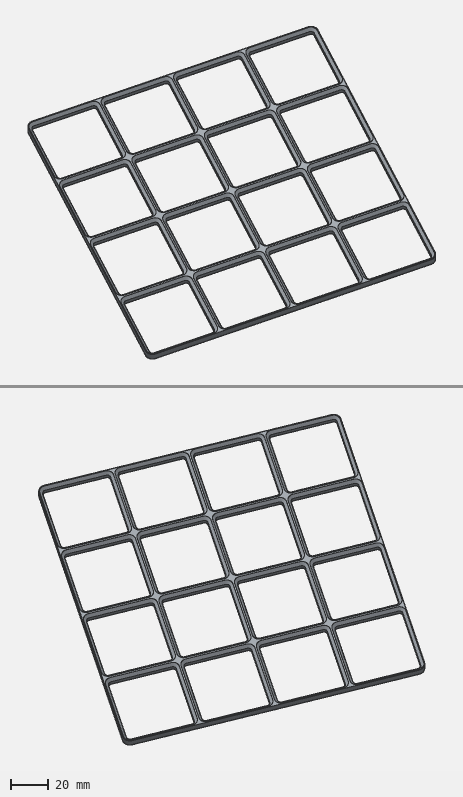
import cadquery as cq

side = 168.0
cells_per_side = 4
pitch = side / cells_per_side
height = 4.2
outer_radius = 4.0

rim_land = 0.47
flare = 1.7
flare_angle = 45
top_radius = outer_radius - rim_land
bottom_opening = pitch - 2 * (rim_land + flare)
bottom_radius = top_radius - flare


def rounded_square(size, radius):
    """Square outline with rounded corners, centred on the origin."""
    return cq.Sketch().rect(size, size).vertices().fillet(radius)


def cell_cutter():
    """Solid removed from one cell; the flare keeps its corner arcs concentric."""
    outline = rounded_square(bottom_opening, bottom_radius)
    straight_walls = cq.Workplane("XY").placeSketch(outline).extrude(height - flare)
    flared_walls = (
        cq.Workplane("XY", origin=(0, 0, height - flare))
        .placeSketch(outline)
        .extrude(flare, taper=-flare_angle)
    )
    return straight_walls.union(flared_walls)


plate = cq.Workplane("XY").placeSketch(rounded_square(side, outer_radius)).extrude(height)
cutter = cell_cutter().val()
openings = (
    cq.Workplane("XY")
    .rarray(pitch, pitch, cells_per_side, cells_per_side)
    .eachpoint(lambda place: cutter.moved(place))
)
result = plate.cut(openings)